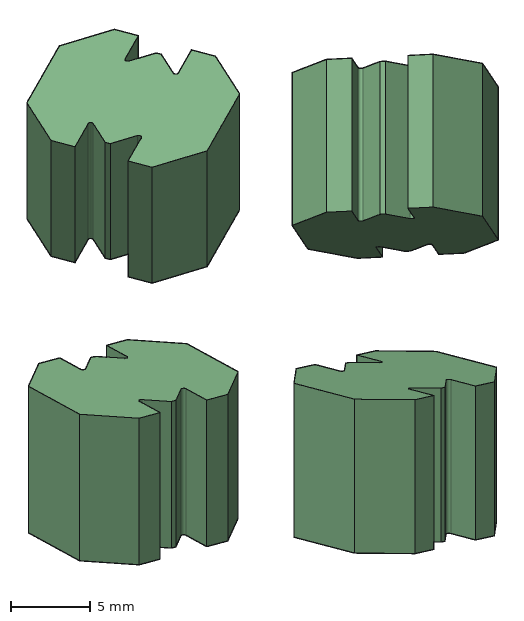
import cadquery as cq

length = 12.2
width = 11.0
height = 10.0
corner_chamfer = 2.68

slot_width = 3.59
ridge_tip_depth = 1.07
ridge_tip_width = 0.34
groove_radius = 0.17


def octagonal_block():
    block = cq.Workplane("XY").box(length, width, height)
    return block.edges("|Z").chamfer(corner_chamfer)


def ridged_slot():
    """Cutter for the slot on the +Y side, with rounded groove bottoms."""
    half_slot = slot_width / 2
    half_tip = ridge_tip_width / 2
    opening_y = width / 2
    tip_y = opening_y - ridge_tip_depth
    groove_y = tip_y - (half_slot - half_tip)
    cutter = (
        cq.Workplane("XY")
        .workplane(offset=-height / 2)
        .moveTo(-half_slot, opening_y)
        .lineTo(-half_slot, groove_y)
        .lineTo(-half_tip, tip_y)
        .lineTo(half_tip, tip_y)
        .lineTo(half_slot, groove_y)
        .lineTo(half_slot, opening_y)
        .close()
        .extrude(height)
    )
    return cutter.edges("|Z and <Y").fillet(groove_radius)


slot = ridged_slot()
result = octagonal_block().cut(slot).cut(slot.mirror("XZ"))